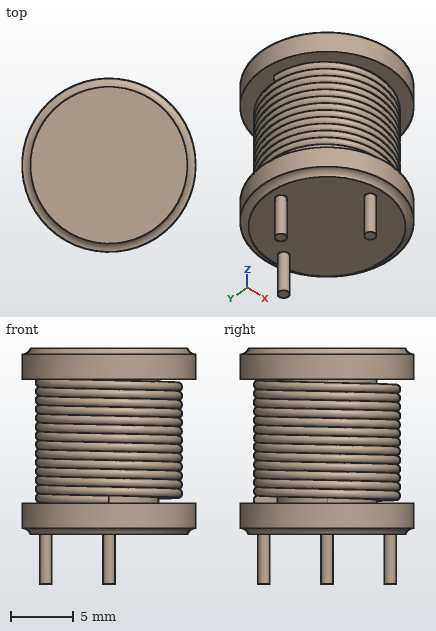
import cadquery as cq

total_height = 19.0
flange_diameter = 14.0
flange_height = 2.5
pin_length = 4.0

cove_width = 0.68
cove_height = 0.5
cove_mid_width = 0.45
cove_mid_height = 0.17

core_radius = 4.0
coil_radius = 5.9
wire_bulge = 0.23
coil_turns = 13.25
coil_end_inset = 0.25
turn_gap = 0.02
root_overlap = 0.1

pin_radius = 0.5
pin_offset = 5.1

flange_radius = flange_diameter / 2
bobbin_height = total_height - pin_length
winding_space = bobbin_height - 2 * flange_height
coil_rise = winding_space - 2 * coil_end_inset
coil_pitch = coil_rise / coil_turns


def make_upper_flange():
    """Disc with a concave step around its top edge."""
    shoulder_z = bobbin_height - cove_height
    cove_middle = (flange_radius - cove_mid_width, shoulder_z + cove_mid_height)
    profile = (
        cq.Workplane("XZ")
        .moveTo(0, bobbin_height - flange_height)
        .lineTo(flange_radius, bobbin_height - flange_height)
        .lineTo(flange_radius, shoulder_z)
        .threePointArc(cove_middle, (flange_radius - cove_width, bobbin_height))
        .lineTo(0, bobbin_height)
        .close()
    )
    return profile.revolve(360, (0, 0), (0, 1))


def make_core():
    """Cylinder joining the two flanges."""
    return cq.Workplane("XY").workplane(offset=flange_height).circle(core_radius).extrude(winding_space)


def make_coil():
    """Left-handed winding from the top at -X down to the bottom at -Y."""
    root_radius = core_radius - root_overlap
    half_height = (coil_pitch - turn_gap) / 2
    shoulder_radius = coil_radius - wire_bulge
    path = cq.Wire.makeHelix(coil_pitch, coil_rise, coil_radius, lefthand=True)
    section = (
        cq.Workplane("XZ")
        .moveTo(root_radius, -half_height)
        .lineTo(shoulder_radius, -half_height)
        .threePointArc((coil_radius, 0), (shoulder_radius, half_height))
        .lineTo(root_radius, half_height)
        .close()
    )
    coil = section.sweep(cq.Workplane(path), isFrenet=True)
    return coil.rotate((0, 0, 0), (0, 0, 1), -90).translate((0, 0, flange_height + coil_end_inset))


def make_pins():
    """Three round pins at -X, -Y and +Y."""
    pin_centres = [(-pin_offset, 0), (0, -pin_offset), (0, pin_offset)]
    return cq.Workplane("XY").pushPoints(pin_centres).circle(pin_radius).extrude(-pin_length)


upper_flange = make_upper_flange()
lower_flange = upper_flange.mirror("XY", (0, 0, bobbin_height / 2))

result = make_core().union(make_coil())
result = result.union(upper_flange).union(lower_flange).union(make_pins())